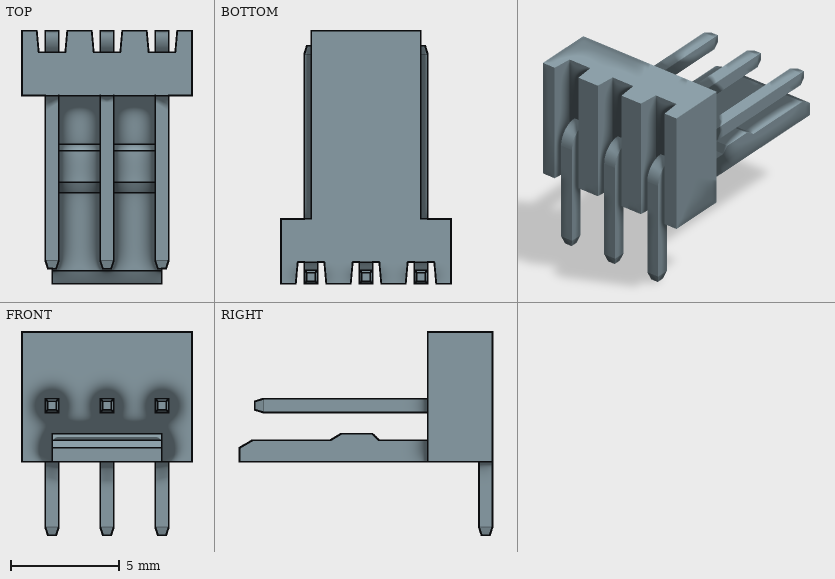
import cadquery as cq


HOUSING_WIDTH = 7.87
HOUSING_DEPTH = 3.0
HOUSING_HEIGHT = 6.0

PIN_COUNT = 3
PIN_PITCH = 2.54
PIN_SIZE = 0.64
PIN_AXIS_HEIGHT = 2.6
PIN_REACH = 8.0
PIN_DROP = 3.4
BEND_OUTER_RADIUS = 1.0
TIP_LENGTH = 0.4
TIP_SIZE = 0.6 * PIN_SIZE

NOTCH_DEPTH = 1.0
NOTCH_MOUTH_WIDTH = 1.4
NOTCH_FLOOR_WIDTH = 1.22

TAB_WIDTH = (PIN_COUNT - 1) * PIN_PITCH
TAB_LENGTH = 8.7
TAB_THICKNESS = 1.0
TAB_NOSE_THICKNESS = 0.65
TAB_NOSE_LENGTH = 0.6
RIDGE_HEIGHT = 0.3
RIDGE_REAR_FOOT = 2.25
RIDGE_REAR_CREST = 2.55
RIDGE_FRONT_CREST = 4.0
RIDGE_FRONT_FOOT = 4.5

pin_positions = [(i - (PIN_COUNT - 1) / 2) * PIN_PITCH for i in range(PIN_COUNT)]


def side_profile(width):
    """YZ workplane placed so that extruding by width is centred on X = 0."""
    return cq.Workplane("YZ").workplane(offset=-width / 2)


def make_tip(plane):
    """Truncated pyramid that closes a pin end, growing along the plane's normal."""
    return (
        cq.Workplane(plane)
        .rect(PIN_SIZE, PIN_SIZE)
        .workplane(offset=TIP_LENGTH)
        .rect(TIP_SIZE, TIP_SIZE)
        .loft(ruled=True)
    )


def make_pin(x):
    """Square right-angle pin: forward contact leg, rounded bend, downward solder leg."""
    pin_top = PIN_AXIS_HEIGHT + PIN_SIZE / 2
    pin_bottom = pin_top - PIN_SIZE
    back = HOUSING_DEPTH
    leg_front = back - PIN_SIZE
    contact_end = TIP_LENGTH - PIN_REACH
    solder_end = TIP_LENGTH - PIN_DROP
    bend_inner_radius = BEND_OUTER_RADIUS - PIN_SIZE
    bend_y = back - BEND_OUTER_RADIUS
    bend_z = pin_top - BEND_OUTER_RADIUS

    bent_bar = (
        side_profile(PIN_SIZE)
        .moveTo(contact_end, pin_top)
        .lineTo(bend_y, pin_top)
        .radiusArc((back, bend_z), BEND_OUTER_RADIUS)
        .lineTo(back, solder_end)
        .lineTo(leg_front, solder_end)
        .lineTo(leg_front, bend_z)
        .radiusArc((bend_y, pin_bottom), -bend_inner_radius)
        .lineTo(contact_end, pin_bottom)
        .close()
        .extrude(PIN_SIZE)
    )
    contact_plane = cq.Plane(origin=(0, contact_end, PIN_AXIS_HEIGHT), xDir=(1, 0, 0), normal=(0, -1, 0))
    solder_plane = cq.Plane(origin=(0, back - PIN_SIZE / 2, solder_end), xDir=(1, 0, 0), normal=(0, 0, -1))
    pin = bent_bar.union(make_tip(contact_plane)).union(make_tip(solder_plane))
    return pin.translate((x, 0, 0))


def make_block():
    """Plain rectangular body of the housing."""
    return cq.Workplane("XY").box(
        HOUSING_WIDTH, HOUSING_DEPTH, HOUSING_HEIGHT, centered=(True, False, False)
    )


def make_tab():
    """Locking tab in front of the block, with a sloped nose and a cross ridge on top."""
    ridge_top = TAB_THICKNESS + RIDGE_HEIGHT
    return (
        side_profile(TAB_WIDTH)
        .moveTo(0, 0)
        .lineTo(0, TAB_THICKNESS)
        .lineTo(-RIDGE_REAR_FOOT, TAB_THICKNESS)
        .lineTo(-RIDGE_REAR_CREST, ridge_top)
        .lineTo(-RIDGE_FRONT_CREST, ridge_top)
        .lineTo(-RIDGE_FRONT_FOOT, TAB_THICKNESS)
        .lineTo(TAB_NOSE_LENGTH - TAB_LENGTH, TAB_THICKNESS)
        .lineTo(-TAB_LENGTH, TAB_NOSE_THICKNESS)
        .lineTo(-TAB_LENGTH, 0)
        .close()
        .extrude(TAB_WIDTH)
    )


def make_notch(x):
    """Full-height notch that narrows from the housing back to its floor."""
    floor_y = HOUSING_DEPTH - NOTCH_DEPTH
    return (
        cq.Workplane("XY")
        .moveTo(x - NOTCH_MOUTH_WIDTH / 2, HOUSING_DEPTH)
        .lineTo(x - NOTCH_FLOOR_WIDTH / 2, floor_y)
        .lineTo(x + NOTCH_FLOOR_WIDTH / 2, floor_y)
        .lineTo(x + NOTCH_MOUTH_WIDTH / 2, HOUSING_DEPTH)
        .close()
        .extrude(HOUSING_HEIGHT)
    )


def make_housing(pins):
    """Block and tab in one piece, notched at the back and pierced by the pins."""
    housing = make_block().union(make_tab())
    for x in pin_positions:
        housing = housing.cut(make_notch(x))
    for pin in pins:
        housing = housing.cut(pin)
    return housing


pins = [make_pin(x) for x in pin_positions]
housing = make_housing(pins)

result = cq.Compound.makeCompound([housing.val(), *[pin.val() for pin in pins]])